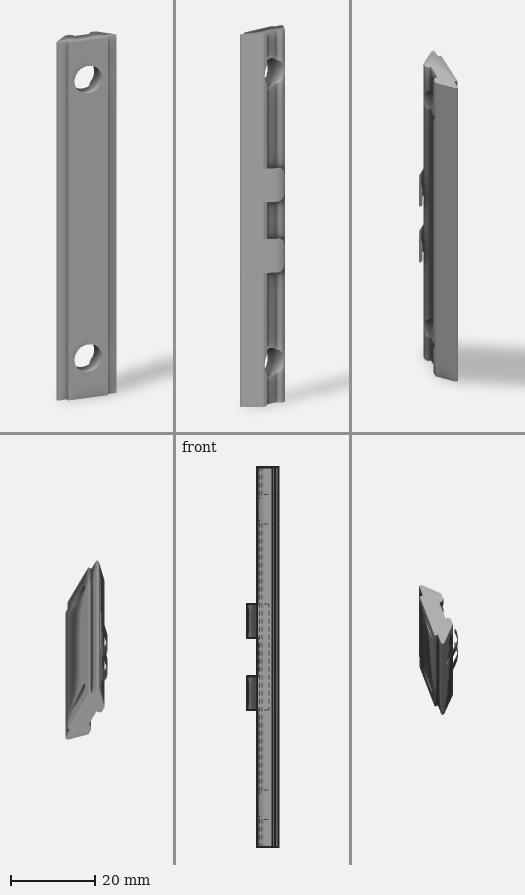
import cadquery as cq
import math

LENGTH = 90.0
WIDTH = 15.0
THICKNESS = 5.0
EDGE_FLAT = 0.6
STEP_DEPTH = 0.8
REAR_HALF_WIDTH = 5.0
GROOVE_DEPTH = 1.2
GROOVE_HALF_WIDTH = 2.1
GROOVE_CHAMFER = 0.5
HOLE_DIAMETER = 6.9
HOLE_OFFSET = 35.0

TOTAL_DEPTH = 7.5
SHEET = 0.1
CLIP_HALF_HEIGHT = 12.6
NOTCH_HALF_HEIGHT = 4.5
CLIP_OUTER_Y = 6.75
NOTCH_Y = 4.4
BEND_Y = 2.7
TIP_Y = -1.0
TIP_RADIUS = 2.2
CORNER_RADIUS = 0.45

FLANK_RUN = THICKNESS - STEP_DEPTH - EDGE_FLAT
FRONT_HALF_WIDTH = WIDTH / 2 - FLANK_RUN
DIAGONAL = math.sqrt(0.5)


def flank_x(y):
    """X of the +Y flank at a given Y."""
    return y - FRONT_HALF_WIDTH - THICKNESS


def make_rail():
    """Extruded dovetail section with a front groove and two through holes."""
    half_section = [
        (0, REAR_HALF_WIDTH),
        (-STEP_DEPTH, REAR_HALF_WIDTH),
        (-STEP_DEPTH, WIDTH / 2),
        (-STEP_DEPTH - EDGE_FLAT, WIDTH / 2),
        (-THICKNESS, FRONT_HALF_WIDTH),
        (-THICKNESS, GROOVE_HALF_WIDTH + GROOVE_CHAMFER),
        (-THICKNESS + GROOVE_CHAMFER, GROOVE_HALF_WIDTH),
        (-THICKNESS + GROOVE_DEPTH, GROOVE_HALF_WIDTH),
    ]
    mirrored = [(x, -y) for x, y in reversed(half_section)]
    bar = cq.Workplane("XY").polyline(half_section + mirrored).close().extrude(LENGTH / 2, both=True)
    holes = (
        cq.Workplane("YZ")
        .pushPoints([(0, -HOLE_OFFSET), (0, HOLE_OFFSET)])
        .circle(HOLE_DIAMETER / 2)
        .extrude(-THICKNESS)
    )
    return bar.cut(holes)


def make_curled_sheet():
    """Full-height sheet: flat on the flank, then an arc tangent to it that ends at the tip."""
    offset = SHEET * DIAGONAL
    bend_inner = (flank_x(BEND_Y), BEND_Y)
    bend_outer = (bend_inner[0] - offset, BEND_Y + offset)
    outer_radius = (TOTAL_DEPTH + bend_outer[0]) / (1 - DIAGONAL)
    inner_radius = outer_radius - SHEET
    centre_x = outer_radius - TOTAL_DEPTH
    centre_y = bend_outer[1] - outer_radius * DIAGONAL
    tip_angle = math.asin((centre_y - TIP_Y) / outer_radius)

    def arc_point(radius, angle):
        return (centre_x - radius * math.cos(angle), centre_y - radius * math.sin(angle))

    end_inner = (flank_x(CLIP_OUTER_Y), CLIP_OUTER_Y)
    end_outer = (end_inner[0] - offset, end_inner[1] + offset)
    return (
        cq.Workplane("XY")
        .moveTo(*end_inner)
        .lineTo(*end_outer)
        .lineTo(*bend_outer)
        .threePointArc(arc_point(outer_radius, 0), arc_point(outer_radius, tip_angle))
        .lineTo(*arc_point(inner_radius, tip_angle))
        .threePointArc(arc_point(inner_radius, 0), bend_inner)
        .close()
        .extrude(CLIP_HALF_HEIGHT, both=True)
    )


def make_clip_outline():
    """Block along X whose YZ outline is a plate with two round-cornered fingers."""
    end_y = CLIP_OUTER_Y + SHEET * DIAGONAL
    finger_height = CLIP_HALF_HEIGHT - NOTCH_HALF_HEIGHT
    finger_z = (CLIP_HALF_HEIGHT + NOTCH_HALF_HEIGHT) / 2

    def block(y_min, y_max, height, z):
        return (
            cq.Workplane("YZ")
            .center((y_min + y_max) / 2, z)
            .rect(y_max - y_min, height)
            .extrude(-TOTAL_DEPTH)
        )

    outline = block(NOTCH_Y, end_y, 2 * CLIP_HALF_HEIGHT, 0).edges("|X and >Y").fillet(CORNER_RADIUS)
    root_y = (NOTCH_Y + end_y) / 2
    for side in (-1, 1):
        finger = block(TIP_Y, root_y, finger_height, side * finger_z)
        outline = outline.union(finger.edges("|X and <Y").fillet(TIP_RADIUS))
    notch_corners = cq.selectors.BoxSelector(
        (-2 * TOTAL_DEPTH, NOTCH_Y - CORNER_RADIUS, -NOTCH_HALF_HEIGHT - CORNER_RADIUS),
        (TOTAL_DEPTH, NOTCH_Y + CORNER_RADIUS, NOTCH_HALF_HEIGHT + CORNER_RADIUS),
    )
    return outline.edges("|X").edges(notch_corners).fillet(CORNER_RADIUS)


def make_clip():
    """Curled sheet trimmed to the two-fingered outline."""
    return make_curled_sheet().intersect(make_clip_outline())


rail = make_rail().solids()
clip = make_clip().solids()
result = cq.Compound.makeCompound([rail.val(), clip.val()])